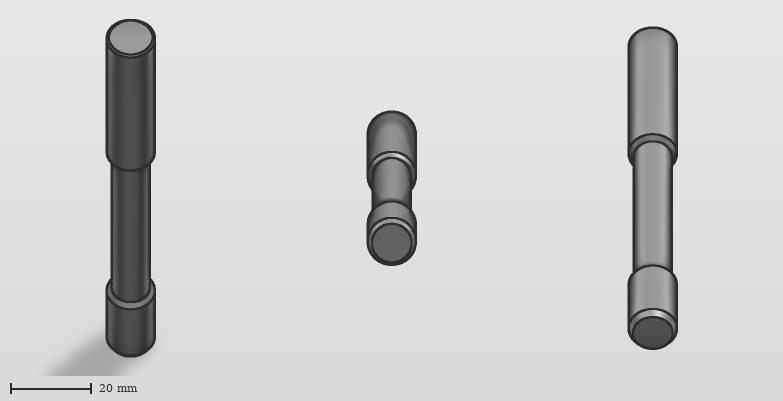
import cadquery as cq

length = 120.0
end_radius = 6.0
shank_diameter = 9.5
shank_radius = shank_diameter / 2

foot_radius = 4.9
foot_chamfer_height = 1.9
collar_height = 20.0
shoulder_chamfer = end_radius - shank_radius

barrel_bottom = 73.7
top_chamfer_height = 0.5
top_chamfer_width = 0.6


def revolve_about_z(points):
    """Turn an outline of (radius, height) points about the Z axis."""
    return cq.Workplane("XZ").polyline(points).close().revolve(360, (0, 0), (0, 1))


def make_stem():
    """Collar with chamfered ends and the slim shank that rises from it."""
    return revolve_about_z([
        (0, 0),
        (foot_radius, 0),
        (end_radius, foot_chamfer_height),
        (end_radius, collar_height),
        (shank_radius, collar_height + shoulder_chamfer),
        (shank_radius, barrel_bottom),
        (0, barrel_bottom),
    ])


def make_barrel():
    """Solid barrel that stands on the end of the shank."""
    return revolve_about_z([
        (0, barrel_bottom),
        (shank_radius, barrel_bottom),
        (end_radius, barrel_bottom + shoulder_chamfer),
        (end_radius, length - top_chamfer_height),
        (end_radius - top_chamfer_width, length),
        (0, length),
    ])


stem = make_stem()
barrel = make_barrel()

result = cq.Compound.makeCompound([stem.val(), barrel.val()])